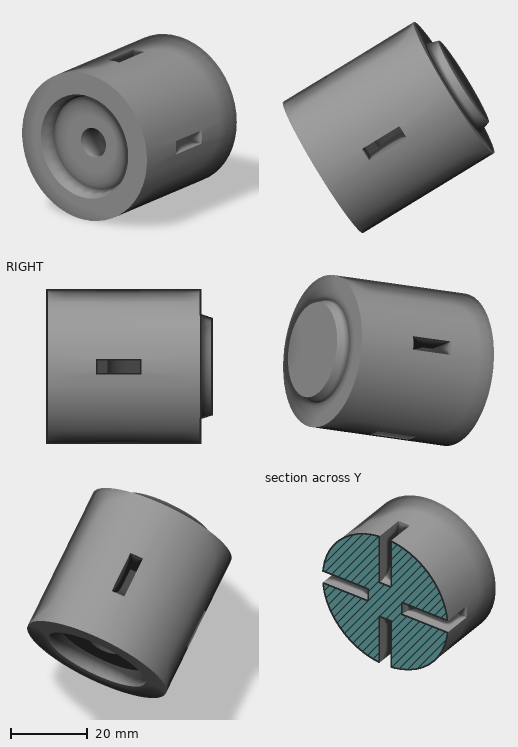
import cadquery as cq
import math

body_diameter = 40.0
body_length = 40.0

boss_base_diameter = 26.9
boss_tip_diameter = 24.95
boss_length = 3.0
recess_mouth_diameter = 28.0
recess_floor_diameter = 25.03
recess_depth = 4.0

hole_diameter = 8.0
hole_depth = 8.0

slot_count = 4
slot_width = 3.6
slot_front = 13.0
slot_back = 24.42
ledge_end = 15.95
curve_radius = 5.07
ledge_height = 10.5


def tapered_disc(start, length, start_diameter, end_diameter):
    """Truncated cone along Y, running back from Y = start."""
    outline = [
        (0, start),
        (start_diameter / 2, start),
        (end_diameter / 2, start + length),
        (0, start + length),
    ]
    return cq.Workplane("XY").polyline(outline).close().revolve(360, (0, 0), (0, 1))


def slot_cutter():
    """Cutter for the slot on the +Z side."""
    outer_height = body_diameter / 2 + slot_width
    deep_height = ledge_height - curve_radius
    curve_end = ledge_end + curve_radius
    diagonal = curve_radius * math.sqrt(0.5)
    curve_middle = (curve_end - diagonal, ledge_height - diagonal)
    return (
        cq.Workplane("YZ")
        .moveTo(slot_front, outer_height)
        .lineTo(slot_front, ledge_height)
        .lineTo(ledge_end, ledge_height)
        .threePointArc(curve_middle, (curve_end, deep_height))
        .lineTo(slot_back, deep_height)
        .lineTo(slot_back, outer_height)
        .close()
        .extrude(slot_width / 2, both=True)
    )


body = tapered_disc(0, body_length, body_diameter, body_diameter)
body = body.union(tapered_disc(body_length, boss_length, boss_base_diameter, boss_tip_diameter))

body = body.cut(tapered_disc(0, recess_depth, recess_mouth_diameter, recess_floor_diameter))
body = body.cut(tapered_disc(recess_depth, hole_depth, hole_diameter, hole_diameter))

for index in range(slot_count):
    angle = index * 360 / slot_count
    body = body.cut(slot_cutter().rotate((0, 0, 0), (0, 1, 0), angle))

result = body